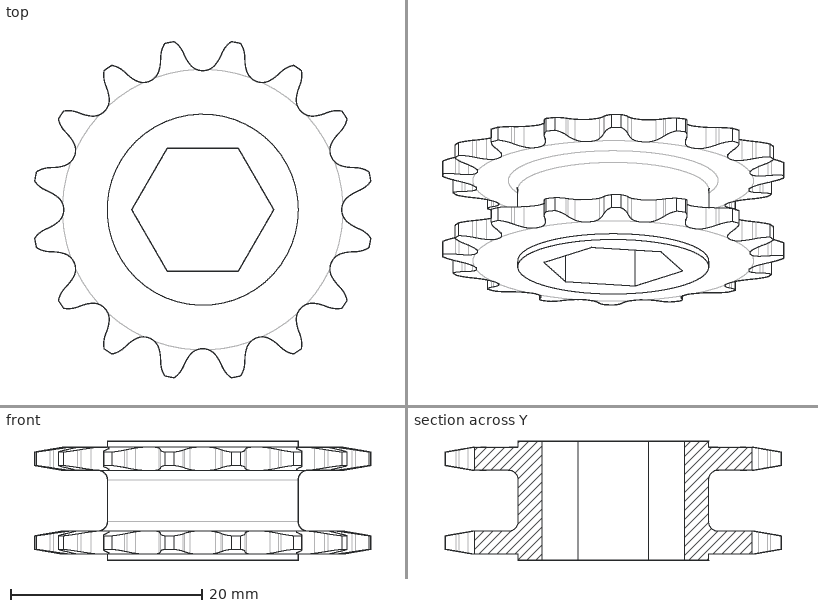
import cadquery as cq
import math

TEETH = 16
PLATE_THICKNESS = 2.43
PLATE_GAP = 6.35
HUB_RISE = 0.65
HUB_DIAMETER = 20.0
HEX_ACROSS_FLATS = 12.85
ROOT_FILLET = 1.0

CHAIN_PITCH = 6.35
ROLLER_DIAMETER = 3.3
SEAT_RADIUS = 1.7
TIP_RADIUS = 17.85
TAPER_START_RADIUS = 14.7
TIP_THICKNESS = 1.4

PITCH_ANGLE = 360 / TEETH
PITCH_RADIUS = CHAIN_PITCH / 2 / math.sin(math.radians(PITCH_ANGLE / 2))
HEIGHT = PLATE_GAP + 2 * (PLATE_THICKNESS + HUB_RISE)
PLATE_OFFSET = (PLATE_GAP + PLATE_THICKNESS) / 2

SEAT_ANGLE = math.radians(35 + 60 / TEETH)
WORKING_SWEEP = math.radians(18 - 56 / TEETH)
WORKING_OFFSET = 0.8 * ROLLER_DIAMETER
TOPPING_OFFSET = 1.4 * ROLLER_DIAMETER


def step(point, distance, angle):
    """Point reached by moving a distance along a direction in radians."""
    return (point[0] + distance * math.cos(angle), point[1] + distance * math.sin(angle))


def flank_points():
    """Left flank of the gap centred on +Y, from the tooth tip down to the seat."""
    seat_centre = (0, PITCH_RADIUS)
    working_centre = step(seat_centre, WORKING_OFFSET, SEAT_ANGLE)
    working_radius = WORKING_OFFSET + SEAT_RADIUS
    line_normal = SEAT_ANGLE - WORKING_SWEEP

    seat_end = step(working_centre, -working_radius, SEAT_ANGLE)
    working_mid = step(working_centre, -working_radius, SEAT_ANGLE - WORKING_SWEEP / 2)
    working_end = step(working_centre, -working_radius, line_normal)

    half_pitch = math.radians(PITCH_ANGLE / 2)
    topping_centre = step(seat_centre, -TOPPING_OFFSET, half_pitch)
    topping_radius = (
        (working_end[0] - topping_centre[0]) * math.cos(line_normal)
        + (working_end[1] - topping_centre[1]) * math.sin(line_normal)
    )
    topping_start = step(topping_centre, topping_radius, line_normal)

    centre_radius = math.hypot(*topping_centre)
    centre_angle = math.atan2(topping_centre[1], topping_centre[0])
    spread = math.acos(
        (centre_radius**2 + TIP_RADIUS**2 - topping_radius**2) / (2 * centre_radius * TIP_RADIUS)
    )
    tip = step((0, 0), TIP_RADIUS, centre_angle - spread)
    tip_direction = math.atan2(tip[1] - topping_centre[1], tip[0] - topping_centre[0])
    topping_mid = step(topping_centre, topping_radius, (line_normal + tip_direction) / 2)
    return tip, topping_mid, topping_start, working_end, working_mid, seat_end


def rotated(point, degrees):
    """Point turned counter-clockwise about the sprocket axis."""
    angle = math.radians(degrees)
    return (
        point[0] * math.cos(angle) - point[1] * math.sin(angle),
        point[0] * math.sin(angle) + point[1] * math.cos(angle),
    )


def mirrored(point):
    return (-point[0], point[1])


def toothed_blank():
    """Flat plate centred on Z = 0 with the full tooth outline."""
    tip, topping_mid, topping_start, working_end, working_mid, seat_end = flank_points()
    seat_bottom = (0, PITCH_RADIUS - SEAT_RADIUS)
    tooth_crest = rotated((0, TIP_RADIUS), -PITCH_ANGLE / 2)
    next_tip = rotated(tip, -PITCH_ANGLE)

    outline = cq.Workplane("XY").workplane(offset=-PLATE_THICKNESS / 2).moveTo(*tip)
    for index in range(TEETH):
        turn = -index * PITCH_ANGLE
        outline = (
            outline
            .threePointArc(rotated(topping_mid, turn), rotated(topping_start, turn))
            .lineTo(*rotated(working_end, turn))
            .threePointArc(rotated(working_mid, turn), rotated(seat_end, turn))
            .threePointArc(rotated(seat_bottom, turn), rotated(mirrored(seat_end), turn))
            .threePointArc(rotated(mirrored(working_mid), turn), rotated(mirrored(working_end), turn))
            .lineTo(*rotated(mirrored(topping_start), turn))
            .threePointArc(rotated(mirrored(topping_mid), turn), rotated(mirrored(tip), turn))
            .threePointArc(rotated(tooth_crest, turn), rotated(next_tip, turn))
        )
    return outline.close().extrude(PLATE_THICKNESS)


def taper_envelope():
    """Disc that thins on both faces from the taper start to the tooth tips."""
    half_plate = PLATE_THICKNESS / 2
    half_tip = TIP_THICKNESS / 2
    return (
        cq.Workplane("XZ")
        .polyline([
            (0, -half_plate),
            (TAPER_START_RADIUS, -half_plate),
            (TIP_RADIUS, -half_tip),
            (TIP_RADIUS, half_tip),
            (TAPER_START_RADIUS, half_plate),
            (0, half_plate),
        ])
        .close()
        .revolve(360, (0, 0, 0), (0, 1, 0))
    )


def hub():
    """Hub with concave fillets that run out onto the inner plate faces."""
    radius = HUB_DIAMETER / 2
    half_gap = PLATE_GAP / 2
    half_height = HEIGHT / 2
    flare_radius = radius + ROOT_FILLET
    flare_start = half_gap - ROOT_FILLET
    plate_middle = half_gap + PLATE_THICKNESS / 2
    arc_inset = ROOT_FILLET * (1 - math.sqrt(0.5))
    return (
        cq.Workplane("XZ")
        .moveTo(0, -half_height)
        .lineTo(radius, -half_height)
        .lineTo(radius, -plate_middle)
        .lineTo(flare_radius, -plate_middle)
        .lineTo(flare_radius, -half_gap)
        .threePointArc((radius + arc_inset, -half_gap + arc_inset), (radius, -flare_start))
        .lineTo(radius, flare_start)
        .threePointArc((radius + arc_inset, half_gap - arc_inset), (flare_radius, half_gap))
        .lineTo(flare_radius, plate_middle)
        .lineTo(radius, plate_middle)
        .lineTo(radius, half_height)
        .lineTo(0, half_height)
        .close()
        .revolve(360, (0, 0, 0), (0, 1, 0))
    )


def hex_bore():
    """Through bore with two corners on the X axis."""
    across_corners = HEX_ACROSS_FLATS / math.cos(math.radians(30))
    return cq.Workplane("XY").polygon(6, across_corners).extrude(HEIGHT / 2, both=True)


sprocket_plate = toothed_blank().intersect(taper_envelope())
body = hub()
for side in (-1, 1):
    body = body.union(sprocket_plate.translate((0, 0, side * PLATE_OFFSET)))

result = body.cut(hex_bore())